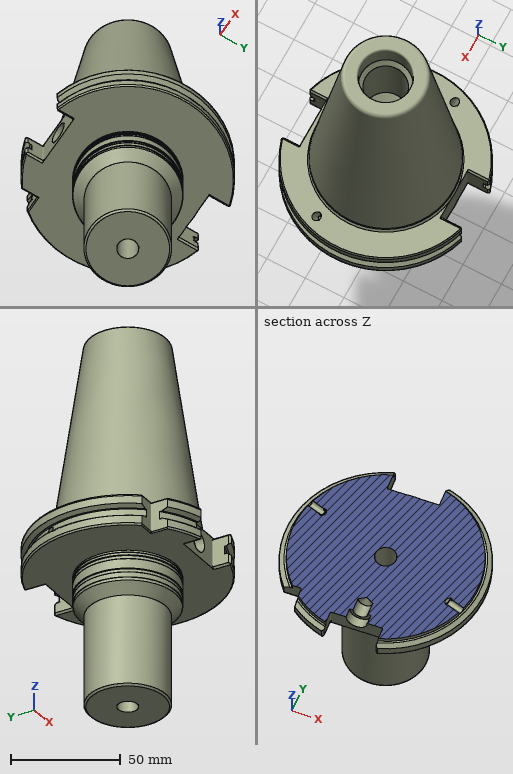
import cadquery as cq
import math

total_height = 188.6
gauge_plane_z = 86.2
flange_top_z = 84.0
flange_bottom_z = 67.9
collar_cone_top_z = 52.2

gauge_radius = 35.0
taper_ratio = 7 / 24
taper_top_radius = gauge_radius - (total_height - gauge_plane_z) * taper_ratio / 2
taper_top_rounding = 1.9
shank_neck_radius = 34.7
neck_flare_radius = 35.6
neck_flare_top_z = 84.9

flange_radius = 48.7
flange_chamfer_height = 1.0
flange_chamfer_inset = 0.5
groove_z = (flange_top_z + flange_bottom_z) / 2
groove_floor_radius = 45.5
groove_mouth_half = 3.2
groove_flank_end_radius = 46.4
groove_half_angle = math.radians(30)
groove_flank_depth = flange_radius - groove_flank_end_radius
groove_floor_half = groove_mouth_half - groove_flank_depth * math.tan(groove_half_angle)

collar_radius = 50.5 / 2
relief_radius = 50.0 / 2
relief_depth = collar_radius - relief_radius
collar_top_z = 66.8
collar_bottom_z = 53.8
collar_groove_width = 2.0
collar_groove_centers = (64.3, 57.3)
nose_radius = 40.0 / 2
nose_chamfer = 1.0
collar_cone_bottom_z = collar_cone_top_z - (relief_radius - nose_radius)

slot_width = 25.3
slot_edge_chamfer = 1.0
slot_corner_radius = 0.4
front_slot_y = -37.5
back_slot_y = 35.5
notch_x = -29.8
notch_y = -30.0
notch_edge_chamfer = 0.5
notch_corner_radius = 0.5

cut_overrun = 1.9

coolant_diameter = 10.0
pilot_diameter = 25.0
pilot_depth = 11.5
pilot_rounding = 1.0
thread_diameter = 20.7
thread_bottom_z = 141.5
drill_half_angle = math.radians(59)

screw_hole_diameter = 7.0
screw_recess_diameter = 10.2
screw_recess_depth = 4.7
screw_hole_depth = 11.3
port_angles = (160, 340)
port_pitch_radius = 42.0
port_diameter = 4.0
port_tilt = math.radians(30)
groove_hole_diameter = 3.2


def revolve_section(points):
    """Solid of revolution about Z from a closed (radius, z) outline."""
    return cq.Workplane("XZ").polyline(points).close().revolve(360, (0, 0, 0), (0, 1, 0))


def cone_height(diameter):
    """Height of a drill point of the given diameter."""
    return diameter / 2 / math.tan(drill_half_angle)


def drill(diameter, depth, start, direction):
    """Blind drill with a conical point; depth is that of the full diameter."""
    radius = diameter / 2
    tip = depth + cone_height(diameter)
    tool = revolve_section([(0, 0), (radius, 0), (radius, depth), (0, tip)]).val()
    plane = cq.Plane(origin=start, normal=direction)
    return cq.Workplane(obj=tool.moved(cq.Location(plane)))


def make_shank():
    """Taper and flared neck down to the flange."""
    profile = [
        (0, flange_bottom_z),
        (neck_flare_radius, flange_bottom_z),
        (neck_flare_radius, flange_top_z),
        (shank_neck_radius, neck_flare_top_z),
        (shank_neck_radius, gauge_plane_z),
        (gauge_radius, gauge_plane_z),
        (taper_top_radius, total_height),
        (0, total_height),
    ]
    return revolve_section(profile).faces(">Z").edges().fillet(taper_top_rounding)


def make_flange():
    """Chamfered disc with the gripper groove around its rim."""
    rim = flange_radius - flange_chamfer_inset
    profile = [
        (0, flange_bottom_z),
        (rim, flange_bottom_z),
        (flange_radius, flange_bottom_z + flange_chamfer_height),
        (flange_radius, groove_z - groove_mouth_half),
        (groove_flank_end_radius, groove_z - groove_floor_half),
        (groove_floor_radius, groove_z - groove_floor_half),
        (groove_floor_radius, groove_z + groove_floor_half),
        (groove_flank_end_radius, groove_z + groove_floor_half),
        (flange_radius, groove_z + groove_mouth_half),
        (flange_radius, flange_top_z - flange_chamfer_height),
        (rim, flange_top_z),
        (0, flange_top_z),
    ]
    return revolve_section(profile)


def slot_cutter(floor_y):
    """Driving slot, flared along its top, bottom and outer edges."""
    half = slot_width / 2
    flare = half + slot_edge_chamfer
    reach = math.copysign(flange_radius + cut_overrun, floor_y)
    section = [
        (flare, flange_bottom_z),
        (half, flange_bottom_z + slot_edge_chamfer),
        (half, flange_top_z - slot_edge_chamfer),
        (flare, flange_top_z),
    ]
    section += [(-x, z) for x, z in reversed(section)]
    slot = cq.Workplane("XZ", origin=(0, floor_y, 0)).polyline(section).close().extrude(floor_y - reach)
    floor_selector = "<Y" if floor_y > 0 else ">Y"
    slot = slot.faces(floor_selector).edges("|Z").fillet(slot_corner_radius)

    corner_y = math.copysign(math.sqrt(flange_radius**2 - flare**2), floor_y)
    flare_start_y = corner_y - math.copysign(slot_edge_chamfer, floor_y)
    mouth = [(half, flare_start_y), (flare, corner_y), (flare, reach)]
    mouth += [(-x, y) for x, y in reversed(mouth)]
    flange_height = flange_top_z - flange_bottom_z
    opening = cq.Workplane("XY", origin=(0, 0, flange_bottom_z)).polyline(mouth).close().extrude(flange_height)
    return slot.union(opening)


def notch_cutter():
    """Square orientation notch through the rim, flared at both ends."""
    flare = notch_edge_chamfer
    height = flange_top_z - flange_bottom_z
    side = flange_radius
    notch = cq.Workplane("XY", origin=(notch_x, notch_y, flange_bottom_z)).rect(-side, -side, centered=False)
    notch = notch.extrude(height).edges(">X and >Y").fillet(notch_corner_radius)
    for end_z, taper_direction in ((flange_bottom_z, 1), (flange_top_z, -1)):
        corner = (notch_x + flare, notch_y + flare, end_z)
        end = cq.Workplane("XY", origin=corner).rect(-side, -side, centered=False)
        notch = notch.union(end.extrude(taper_direction * flare, taper=45))
    return notch


def make_nose():
    """Grooved collar, 45 degree cone and cylindrical nose."""
    profile = [
        (0, 0),
        (nose_radius - nose_chamfer, 0),
        (nose_radius, nose_chamfer),
        (nose_radius, collar_cone_bottom_z),
        (relief_radius, collar_cone_top_z),
        (relief_radius, collar_bottom_z),
        (collar_radius, collar_bottom_z),
        (collar_radius, collar_top_z),
        (relief_radius, collar_top_z),
        (relief_radius, flange_bottom_z),
        (0, flange_bottom_z),
    ]
    nose = revolve_section(profile)
    for center_z in collar_groove_centers:
        nose = nose.cut(collar_groove(center_z))
    return nose


def collar_groove(center_z):
    """Shallow groove around the collar with 45 degree flanks."""
    mouth_half = collar_groove_width / 2
    floor_half = mouth_half - relief_depth
    section = [
        (relief_radius, center_z - floor_half),
        (relief_radius, center_z + floor_half),
        (collar_radius, center_z + mouth_half),
        (collar_radius, center_z - mouth_half),
    ]
    return revolve_section(section)


def bore_cutter():
    """Pilot bore with a rounded rim, thread bore and coolant hole."""
    pilot = pilot_diameter / 2
    thread = thread_diameter / 2
    coolant = coolant_diameter / 2
    pilot_floor_z = total_height - pilot_depth
    rim_z = total_height - pilot_rounding
    cone_bottom_z = thread_bottom_z - cone_height(thread_diameter - coolant_diameter)
    diagonal = pilot_rounding * (1 - math.sqrt(0.5))
    profile = (
        cq.Workplane("XZ")
        .moveTo(0, 0)
        .lineTo(coolant, 0)
        .lineTo(coolant, cone_bottom_z)
        .lineTo(thread, thread_bottom_z)
        .lineTo(thread, pilot_floor_z - (pilot - thread))
        .lineTo(pilot, pilot_floor_z)
        .lineTo(pilot, rim_z)
        .threePointArc((pilot + diagonal, total_height - diagonal), (pilot + pilot_rounding, total_height))
        .lineTo(0, total_height)
        .close()
    )
    return profile.revolve(360, (0, 0, 0), (0, 1, 0))


def port_cutter(angle):
    """Port sloping inward from the flange top, met by a radial hole from the groove."""
    across = math.cos(math.radians(angle))
    along = math.sin(math.radians(angle))
    inward = cq.Vector(-across, -along, 0)

    mouth = cq.Vector(port_pitch_radius * across, port_pitch_radius * along, flange_top_z)
    axis = inward * math.sin(port_tilt) + cq.Vector(0, 0, -math.cos(port_tilt))
    port_length = (flange_top_z - groove_z) / math.cos(port_tilt)
    port = drill(port_diameter, port_length + cut_overrun, mouth - axis * cut_overrun, axis)

    meeting_radius = port_pitch_radius - port_length * math.sin(port_tilt)
    rim_point = cq.Vector(flange_radius * across, flange_radius * along, groove_z)
    radial = cq.Solid.makeCylinder(groove_hole_diameter / 2, flange_radius - meeting_radius, rim_point, inward)
    return port.union(cq.Workplane(obj=radial))


def screw_hole_cutter():
    """Counterbored blind hole in the floor of the front driving slot."""
    start = (0, front_slot_y, groove_z)
    hole = drill(screw_hole_diameter, screw_hole_depth, start, (0, 1, 0))
    recess = cq.Solid.makeCylinder(
        screw_recess_diameter / 2, screw_recess_depth, cq.Vector(*start), cq.Vector(0, 1, 0)
    )
    return hole.union(cq.Workplane(obj=recess))


flange = make_flange()
for floor_y in (front_slot_y, back_slot_y):
    flange = flange.cut(slot_cutter(floor_y))
flange = flange.cut(notch_cutter())

result = make_shank().union(flange).union(make_nose()).cut(bore_cutter()).cut(screw_hole_cutter())
for angle in port_angles:
    result = result.cut(port_cutter(angle))